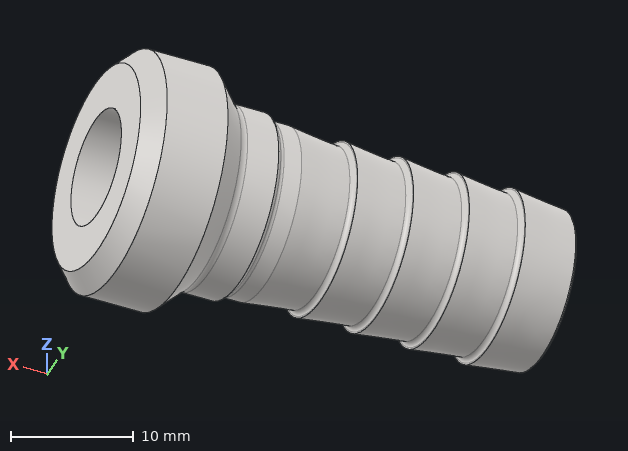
import cadquery as cq
import math

total_length = 40.0
bore_radius = 10.0 / 2
bore_chamfer = 0.3

barb_pitch = 5.0
barb_count = 5
barb_tip_radius = 15.0 / 2
barb_root_radius = 13.8 / 2
barb_root_fillet = 0.4
hose_end_chamfer_length = 0.25
hose_end_face_radius = 6.6

collar_radius = 16.0 / 2
collar_start = 27.3
collar_step_fillet = 1.0 / 2

head_radius = 20.9 / 2
head_start = 32.9
head_end_chamfer = 1.65
head_root_fillet = 1.0

barb_angle = math.atan2(barb_tip_radius - barb_root_radius, barb_pitch)
ramp_angle = math.radians(45)


def add_barb_root(profile, tip_x):
    """Drop from a barb tip and round into the next barb's cone."""
    size = barb_root_fillet
    center_x = tip_x + size
    center_r = barb_root_radius + size * math.tan(barb_angle) + size / math.cos(barb_angle)
    end_angle = barb_angle - math.pi / 2
    middle_angle = (end_angle - math.pi) / 2
    middle = (center_x + size * math.cos(middle_angle), center_r + size * math.sin(middle_angle))
    end = (center_x + size * math.cos(end_angle), center_r + size * math.sin(end_angle))
    return profile.lineTo(tip_x, center_r).threePointArc(middle, end)


def add_ramp(profile, base_radius, end_x, end_radius, fillet):
    """Follow a cylinder, then round into a cone rising to the given end point."""
    corner_x = end_x - (end_radius - base_radius) / math.tan(ramp_angle)
    start_x = corner_x - fillet * math.tan(ramp_angle / 2)

    def arc_point(angle):
        return (start_x + fillet * math.sin(angle), base_radius + fillet * (1 - math.cos(angle)))

    profile = profile.lineTo(start_x, base_radius)
    profile = profile.threePointArc(arc_point(ramp_angle / 2), arc_point(ramp_angle))
    return profile.lineTo(end_x, end_radius)


rim_radius = barb_root_radius + hose_end_chamfer_length * math.tan(barb_angle)
profile = (
    cq.Workplane("XY")
    .moveTo(bore_chamfer, bore_radius)
    .lineTo(0, bore_radius + bore_chamfer)
    .lineTo(0, hose_end_face_radius)
    .lineTo(hose_end_chamfer_length, rim_radius)
)

for barb in range(1, barb_count + 1):
    tip_x = barb * barb_pitch
    profile = profile.lineTo(tip_x, barb_tip_radius)
    if barb < barb_count:
        profile = add_barb_root(profile, tip_x)

profile = add_ramp(profile, barb_tip_radius, collar_start, collar_radius, collar_step_fillet)
profile = add_ramp(profile, collar_radius, head_start, head_radius, head_root_fillet)
profile = (
    profile
    .lineTo(total_length - head_end_chamfer, head_radius)
    .lineTo(total_length, head_radius - head_end_chamfer)
    .lineTo(total_length, bore_radius)
    .close()
)

result = profile.revolve(360, (0, 0, 0), (1, 0, 0))